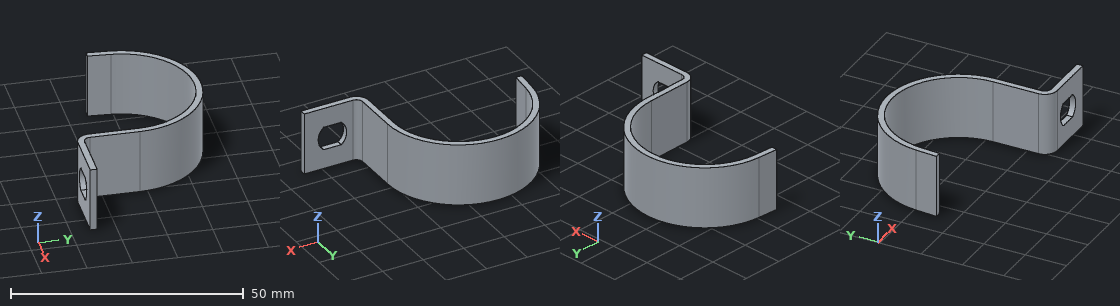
import cadquery as cq
import math

length = 48.8
depth = 31.5
width = 15.0
thickness = 1.5

saddle_radius = 17.5
lip_tilt = math.radians(4.4)
lip_end_below_centre = 3.85

foot_reach = 13.5
bend_inner_radius = 1.5
hole_diameter = 7.0
hole_height = 5.5
hole_to_foot_end = 7.0

inner_radius = saddle_radius - thickness
bend_outer_radius = bend_inner_radius + thickness
foot_end_x = saddle_radius + foot_reach
lip_end_x = foot_end_x - length
foot_bottom_y = saddle_radius - depth
foot_top_y = foot_bottom_y + thickness
bend_x = saddle_radius + bend_inner_radius
bend_y = foot_top_y + bend_inner_radius


def lip_start(radius):
    """Point where the saddle arc runs tangent into the tilted lip."""
    return -radius * math.cos(lip_tilt), radius * math.sin(lip_tilt)


def bend_middle(radius):
    """Middle of the quarter-circle bend between leg and foot."""
    offset = radius * math.cos(math.pi / 4)
    return bend_x - offset, bend_y - offset


def make_strip():
    lip_outer = (lip_end_x, -lip_end_below_centre)
    lip_inner = (lip_end_x + thickness / math.cos(lip_tilt), -lip_end_below_centre)
    return (
        cq.Workplane("XY")
        .moveTo(*lip_outer)
        .lineTo(*lip_start(saddle_radius))
        .threePointArc((0, saddle_radius), (saddle_radius, 0))
        .lineTo(saddle_radius, bend_y)
        .threePointArc(bend_middle(bend_inner_radius), (bend_x, foot_top_y))
        .lineTo(foot_end_x, foot_top_y)
        .lineTo(foot_end_x, foot_bottom_y)
        .lineTo(bend_x, foot_bottom_y)
        .threePointArc(bend_middle(bend_outer_radius), (inner_radius, bend_y))
        .lineTo(inner_radius, 0)
        .threePointArc((0, inner_radius), lip_start(inner_radius))
        .lineTo(*lip_inner)
        .close()
        .extrude(width)
    )


def make_hole():
    """Round cutter with flats above and below, passing through the foot."""
    cylinder = cq.Workplane("XZ").circle(hole_diameter / 2).extrude(thickness, both=True)
    flats = cq.Workplane("XY").box(hole_diameter, 2 * thickness, hole_height)
    hole_x = foot_end_x - hole_to_foot_end
    return cylinder.intersect(flats).translate((hole_x, foot_bottom_y + thickness / 2, width / 2))


result = make_strip().cut(make_hole())